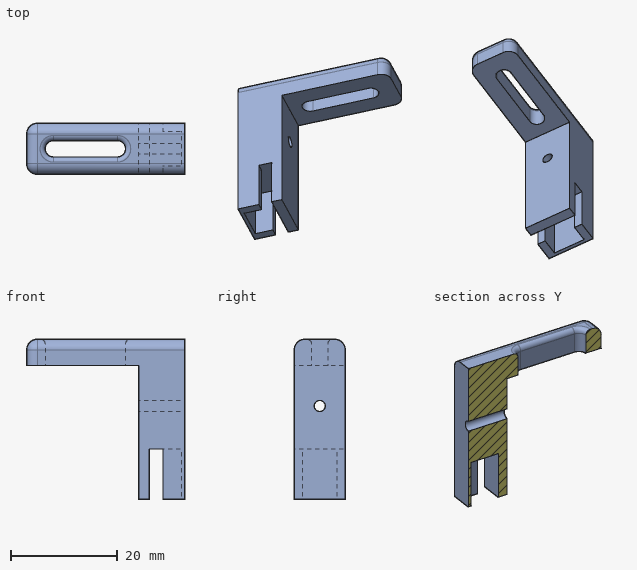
import cadquery as cq

length = 29.65
width = 9.6
height = 30.0

arm_thickness = 4.95
leg_thickness = 8.67
edge_radius = 2.0

slot_length = 15.0
slot_width = 3.0
slot_start = 3.5
slot_rim_radius = 1.0

notch_width = 2.52
notch_depth = 9.42
notch_offset = 2.0

pocket_side_wall = 1.6
pocket_depth = 3.45

hole_diameter = 2.05
hole_below_top = 12.5

leg_start = length - leg_thickness


def box(x_start, z_start, x_size, z_size, y_size=width):
    """Block centred on Y = 0, as wide as the part unless y_size is given."""
    block = cq.Workplane("XY").box(x_size, y_size, z_size, centered=(False, True, False))
    return block.translate((x_start, 0, z_start))


def make_arm():
    """Horizontal arm with a rounded tip, rounded top edges and a rounded-rim slot."""
    arm = box(0, height - arm_thickness, length, arm_thickness)
    arm = arm.edges("|Z and <X").fillet(edge_radius)
    arm = arm.faces(">Z").edges("not >X").fillet(edge_radius)
    arm = (
        arm.faces(">Z")
        .workplane(origin=(slot_start + slot_length / 2, 0, height))
        .slot2D(slot_length, slot_width)
        .cutThruAll()
    )
    return arm.faces(">Z").edges("%CIRCLE").fillet(slot_rim_radius)


def make_leg():
    """Vertical leg below the arm, with a notched, pocketed foot and a cross hole."""
    leg = box(leg_start, 0, leg_thickness, height - arm_thickness)
    notch_start = leg_start + notch_offset
    leg = leg.cut(box(notch_start, 0, notch_width, notch_depth))
    pocket_width = width - 2 * pocket_side_wall
    leg = leg.cut(box(notch_start, 0, notch_width + pocket_depth, notch_depth, pocket_width))
    hole = (
        cq.Workplane("YZ", origin=(leg_start, 0, height - hole_below_top))
        .circle(hole_diameter / 2)
        .extrude(leg_thickness)
    )
    return leg.cut(hole)


result = make_arm().union(make_leg())